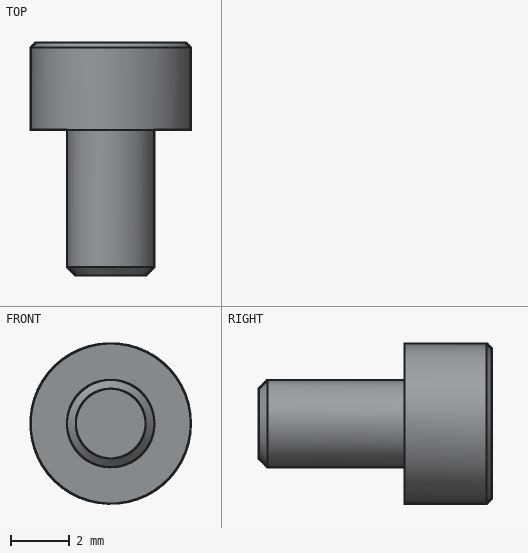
import cadquery as cq

total_length = 8.0
head_diameter = 5.5
head_height = 3.0
head_chamfer = 0.18
shank_diameter = head_height
shank_length = total_length - head_height
tip_chamfer = 0.3


def make_head():
    """Cylindrical head on the +Y side, chamfered at its outer end."""
    head = cq.Workplane("XZ").circle(head_diameter / 2).extrude(-head_height)
    return head.faces(">Y").edges().chamfer(head_chamfer)


def make_shank():
    """Plain shank on the -Y side, chamfered at its tip."""
    shank = cq.Workplane("XZ").circle(shank_diameter / 2).extrude(shank_length)
    return shank.faces("<Y").edges().chamfer(tip_chamfer)


result = make_head().union(make_shank())